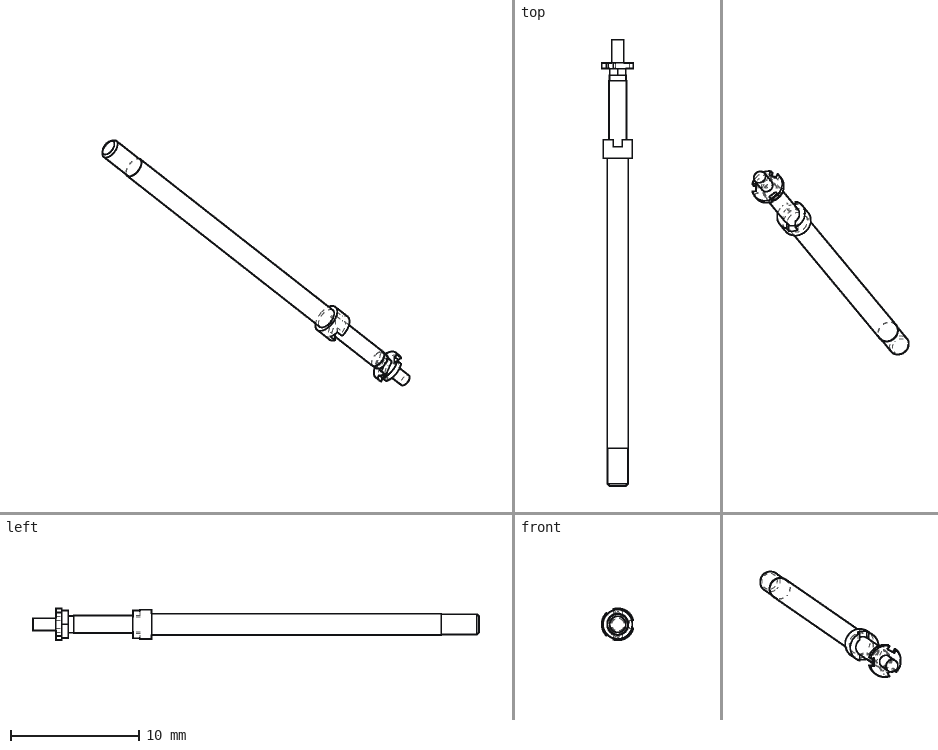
import cadquery as cq
import math

LENGTH = 34.8
FRONT_END = -LENGTH / 2
TIP_END = LENGTH / 2

TUBE_RADIUS = 0.85
END_SECTION_RADIUS = 0.8
END_SECTION_LENGTH = 2.95
END_CHAMFER = 0.17

COLLAR_RADIUS = 1.15
COLLAR_LENGTH = 1.45
COLLAR_START = 8.15
COLLAR_END = COLLAR_START + COLLAR_LENGTH
SLOT_WIDTH = 0.73
SLOT_LENGTH = 0.55

SHAFT_RADIUS = 0.7
NECK_RADIUS = 0.65
NECK_LENGTH = 0.42
TIP_RADIUS = 0.5
TIP_LENGTH = 1.8

FLANGE_RADIUS = 1.25
FLANGE_THICKNESS = 0.45
FLANGE_END = TIP_END - TIP_LENGTH
FLANGE_START = FLANGE_END - FLANGE_THICKNESS
NOTCH_COUNT = 3
NOTCH_WIDTH = 0.63
NOTCH_FLOOR_RADIUS = 0.9

DIAMOND_SIDE_SLOPE = 60
DIAMOND_HALF_WIDTH = 0.63
DIAMOND_HALF_HEIGHT = DIAMOND_HALF_WIDTH * math.tan(math.radians(DIAMOND_SIDE_SLOPE))
DIAMOND_THICKNESS = 0.52
DIAMOND_START = FLANGE_START - DIAMOND_THICKNESS

NECK_START = DIAMOND_START - NECK_LENGTH
END_SECTION_END = FRONT_END + END_SECTION_LENGTH


def section_plane(y):
    """Plane across the pin at y: local x is X, local y is Z, and extrusion runs toward -Y."""
    return cq.Workplane("XZ", origin=(0, y, 0))


def rod(radius, start, end):
    """Round length of the pin between two places along Y."""
    return section_plane(end).circle(radius).extrude(end - start)


def make_tube():
    end_section = rod(END_SECTION_RADIUS, FRONT_END, END_SECTION_END)
    end_section = end_section.faces("<Y").chamfer(END_CHAMFER)
    return end_section.union(rod(TUBE_RADIUS, END_SECTION_END, COLLAR_START))


def make_collar():
    slot = (
        section_plane(COLLAR_END)
        .rect(SLOT_WIDTH, 2 * COLLAR_RADIUS)
        .extrude(SLOT_LENGTH)
    )
    return rod(COLLAR_RADIUS, COLLAR_START, COLLAR_END).cut(slot)


def make_flange():
    flange = rod(FLANGE_RADIUS, FLANGE_START, FLANGE_END)
    notch_depth = FLANGE_RADIUS - NOTCH_FLOOR_RADIUS
    notches = (
        section_plane(FLANGE_END)
        .polarArray(NOTCH_FLOOR_RADIUS + notch_depth / 2, 0, 360, NOTCH_COUNT)
        .rect(notch_depth, NOTCH_WIDTH)
        .extrude(FLANGE_THICKNESS)
    )
    return flange.cut(notches)


def make_diamond():
    corners = [
        (-DIAMOND_HALF_WIDTH, 0),
        (0, DIAMOND_HALF_HEIGHT),
        (DIAMOND_HALF_WIDTH, 0),
        (0, -DIAMOND_HALF_HEIGHT),
    ]
    return section_plane(FLANGE_START).polyline(corners).close().extrude(DIAMOND_THICKNESS)


result = (
    make_tube()
    .union(make_collar())
    .union(rod(SHAFT_RADIUS, COLLAR_START, NECK_START))
    .union(rod(NECK_RADIUS, NECK_START, DIAMOND_START))
    .union(make_diamond())
    .union(make_flange())
    .union(rod(TIP_RADIUS, FLANGE_END, TIP_END))
)